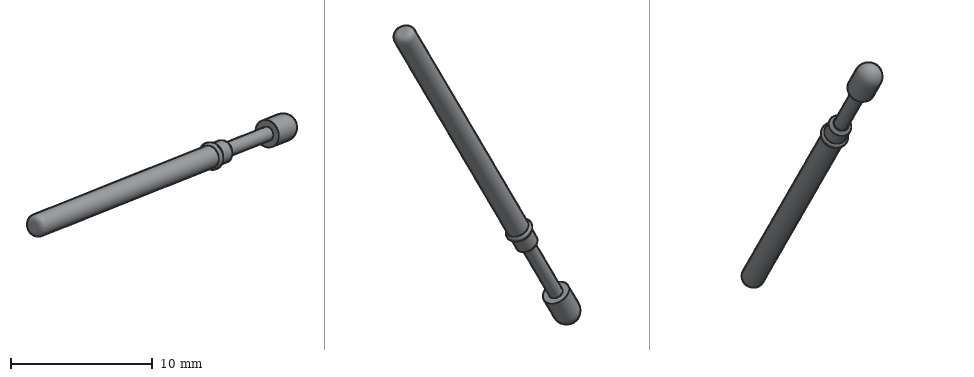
import cadquery as cq
import math

length = 32.3

head_radius = 1.0
head_length = 3.0
neck_radius = 0.52

sleeve_radius = 0.825
sleeve_length = 24.0
shoulder_chamfer = 0.25
tail_fillet = 0.45

collar_radius = head_radius
collar_round = 0.25
collar_center = 22.25

head_start = length - head_length
dome_start = length - head_radius
collar_round_center = collar_radius - collar_round
collar_half_width = math.sqrt(collar_round**2 - (sleeve_radius - collar_round_center) ** 2)

diagonal = math.sqrt(0.5)
tail_inset = tail_fillet * (1 - diagonal)
dome_mid = head_radius * diagonal

profile = (
    cq.Workplane("XY")
    .lineTo(sleeve_radius - tail_fillet, 0)
    .threePointArc((sleeve_radius - tail_inset, tail_inset), (sleeve_radius, tail_fillet))
    .lineTo(sleeve_radius, collar_center - collar_half_width)
    .threePointArc(
        (collar_radius, collar_center),
        (sleeve_radius, collar_center + collar_half_width),
    )
    .lineTo(sleeve_radius, sleeve_length - shoulder_chamfer)
    .lineTo(sleeve_radius - shoulder_chamfer, sleeve_length)
    .lineTo(neck_radius, sleeve_length)
    .lineTo(neck_radius, head_start)
    .lineTo(head_radius, head_start)
    .lineTo(head_radius, dome_start)
    .threePointArc((dome_mid, dome_start + dome_mid), (0, length))
    .close()
)

result = profile.revolve(360, (0, 0, 0), (0, 1, 0))